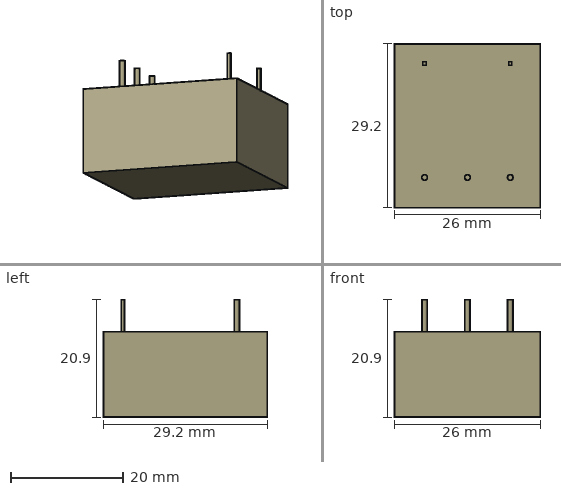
import cadquery as cq

body_width = 26.0
body_length = 29.2
total_height = 20.9
pin_height = 5.7
body_height = total_height - pin_height

round_pin_diameter = 1.0
square_pin_side = 0.6
pin_pitch = 7.62
row_spacing = 20.32
round_row_y = -9.17
square_row_y = round_row_y + row_spacing

round_pin_points = [(i * pin_pitch, round_row_y) for i in (-1, 0, 1)]
square_pin_points = [(i * pin_pitch, square_row_y) for i in (-1, 1)]

body = cq.Workplane("XY").box(body_width, body_length, body_height, centered=(True, True, False))
body_top = cq.Workplane("XY").workplane(offset=body_height)

round_pins = body_top.pushPoints(round_pin_points).circle(round_pin_diameter / 2).extrude(pin_height)
square_pins = body_top.pushPoints(square_pin_points).rect(square_pin_side, square_pin_side).extrude(pin_height)

result = body.union(round_pins).union(square_pins)